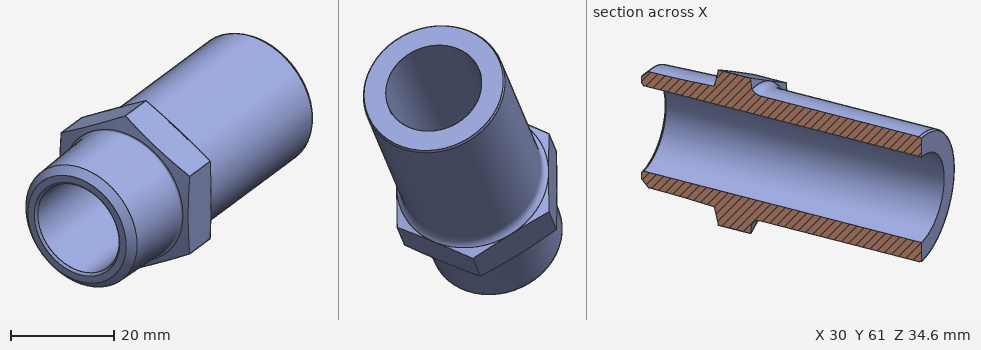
import cadquery as cq
import math

length = 61.0
hex_flats = 30.0
tube_diameter = 28.0
bore_diameter = 19.0

thread_base_diameter = 26.9
thread_tip_diameter = 26.0
tip_face_diameter = 22.95
tip_chamfer_length = 1.5
thread_length = 14.9
neck_length = 0.7

hex_front = 15.9
hex_front_diameter = 27.95
hex_front_corner = 16.7
hex_back_corner = 23.8
hex_back = 24.1
root_length = 1.8

tube_chamfer = 0.5
tube_chamfer_depth = 0.25
bore_chamfer = 0.5

flat_radius = hex_flats / 2
corner_radius = flat_radius / math.cos(math.pi / 6)
tube_radius = tube_diameter / 2
neck_radius = thread_base_diameter / 2
hex_front_radius = hex_front_diameter / 2
bore_radius = bore_diameter / 2
neck_end = thread_length + neck_length


def make_turned_body():
    """Turned outside; the hexagon starts as a disc with conical end faces."""
    root_rise = flat_radius - tube_radius
    root_radius = (root_length**2 + root_rise**2) / (2 * root_rise)
    half_angle = math.asin(root_length / root_radius) / 2
    root_mid = (
        tube_radius + root_radius * (1 - math.cos(half_angle)),
        hex_back + root_length - root_radius * math.sin(half_angle),
    )
    profile = (
        cq.Workplane("XY")
        .moveTo(0, 0)
        .lineTo(tip_face_diameter / 2, 0)
        .lineTo(thread_tip_diameter / 2, tip_chamfer_length)
        .lineTo(neck_radius, thread_length)
        .lineTo(neck_radius, neck_end)
        .tangentArcPoint((hex_front_radius, hex_front), relative=False)
        .lineTo(corner_radius, hex_front_corner)
        .lineTo(corner_radius, hex_back_corner)
        .lineTo(flat_radius, hex_back)
        .threePointArc(root_mid, (tube_radius, hex_back + root_length))
        .lineTo(tube_radius, length - tube_chamfer)
        .lineTo(tube_radius - tube_chamfer_depth, length)
        .lineTo(0, length)
        .close()
    )
    return profile.revolve(360, (0, 0, 0), (0, 1, 0))


def make_hex_bar():
    """Full-length hexagonal bar with corners pointing along +Z and -Z."""
    return (
        cq.Workplane("XZ")
        .transformed(rotate=(0, 0, 90))
        .polygon(6, 2 * corner_radius)
        .extrude(-length)
    )


def make_bore():
    """Through bore with a chamfered mouth at the threaded end."""
    return (
        cq.Workplane("XY")
        .moveTo(0, 0)
        .lineTo(bore_radius + bore_chamfer, 0)
        .lineTo(bore_radius, bore_chamfer)
        .lineTo(bore_radius, length)
        .lineTo(0, length)
        .close()
        .revolve(360, (0, 0, 0), (0, 1, 0))
    )


body = make_turned_body().intersect(make_hex_bar())
result = body.cut(make_bore())